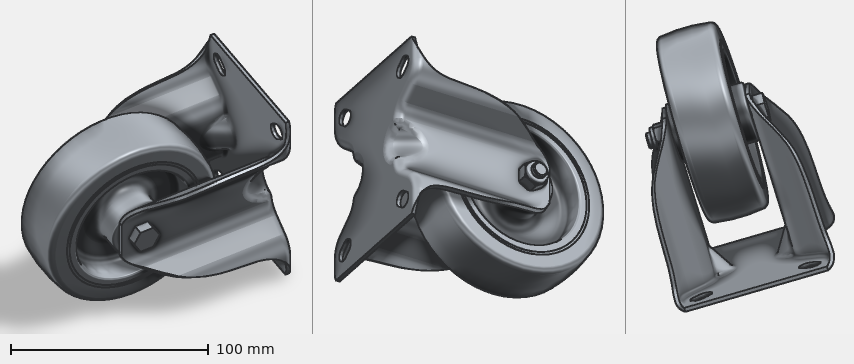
import cadquery as cq
import math


overall_length = 127.9
plate_height = 105.0
plate_width = 84.0
sheet = 2.2
wheel_radius = 50.0
wheel_width = 31.7

back_y = overall_length - wheel_radius
half_height = plate_height / 2
half_width = plate_width / 2

bend_outer = 2 * sheet
bend_inner = bend_outer - sheet
leg_length = 89.5
waist_x = 23.0
waist_flat = 10.7
waist_radius = 11.0
shoulder_radius = 15.9
flare_angle = math.radians(53)
flare_run = half_width - waist_x - (waist_radius + shoulder_radius) * (1 - math.cos(flare_angle))
shoulder_z = (
    waist_flat
    + (waist_radius + shoulder_radius) * math.sin(flare_angle)
    + flare_run / math.tan(flare_angle)
)
waist_center = (waist_x + waist_radius, waist_flat)
shoulder_center = (half_width - shoulder_radius, shoulder_z)
cut_overrun = 0.5
cut_overlap = 3.8

leg_outline = [
    (7.3, 36.8),
    (11.5, 34.8),
    (17.9, 33.4),
    (28.1, 32.7),
    (37.9, 32.4),
    (51.5, 30.7),
    (63.7, 27.6),
    (79.0, 21.2),
    (87.0, 15.7),
    (leg_length, waist_flat),
    (leg_length + cut_overrun, waist_flat - cut_overlap),
]

bend_cut_end_z = 39.9
bend_cut_step = 15
cut_reach = 1.3

dimple_radius = 10.2
dimple_lean = 31.4
dimple_foot_x = 11.4
dimple_length = 76.7
dimple_fillet_outer = 5.8
dimple_fillet_inner = 2.8

slot_x = 28.6
slot_z = 39.3
slot_width = 8.5
slot_length = 12.3
slot_angle = 36.5

tread_edge_x = 12.0
tread_edge_radius = 49.1
side_edge_x = 15.6
side_edge_radius = 45.9
tire_inner_radius = 39.3
groove_inner_radius = 37.7
groove_depth = 0.4
rim_radius = 32.9
rim_draft = 0.6
rim_round = 1.3
rim_fillet = 3.8
web_half = 2.0
hub_radius = 15.3
hub_half = 20.3
hub_fillet = 6.4
hub_round = 1.0
spacer_radius = 6.0

bolt_radius = 4.1
bolt_end_x = -34.1
bolt_chamfer = 0.6
hex_flats = 13.0
head_height = 5.5
nut_height = 6.5
nut_chamfer = 0.6
collar_radius = 6.3
collar_height = 2.0
collar_round = 0.8


def arc_point(center, radius, lean, side):
    """Point on a wall arc, where lean is the tilt of the wall away from Z."""
    return (
        center[0] + side * radius * math.cos(lean),
        center[1] - side * radius * math.sin(lean),
    )


def bent_block(inset, depth_start, bend_radius):
    """Solid bounded by the bracket walls, moved inwards by inset, with the back edge rounded."""
    waist_r = waist_radius + inset
    shoulder_r = shoulder_radius - inset
    quarter = (
        cq.Workplane("XZ", origin=(0, back_y - depth_start, 0))
        .lineTo(waist_x - inset, 0)
        .lineTo(waist_x - inset, waist_flat)
        .threePointArc(
            arc_point(waist_center, waist_r, flare_angle / 2, -1),
            arc_point(waist_center, waist_r, flare_angle, -1),
        )
        .lineTo(*arc_point(shoulder_center, shoulder_r, flare_angle, 1))
        .threePointArc(
            arc_point(shoulder_center, shoulder_r, flare_angle / 2, 1),
            arc_point(shoulder_center, shoulder_r, 0, 1),
        )
        .lineTo(half_width - inset, half_height)
        .lineTo(0, half_height)
        .close()
        .extrude(leg_length - depth_start)
    )
    back_rim = quarter.faces(">Y").edges("not (<X or <Z or >Z)")
    quarter = back_rim.fillet(bend_radius)
    half = quarter.union(quarter.mirror("YZ"))
    return half.union(half.mirror("XY"))


def press_dimples(body, radius, fillet):
    """Cut a slanted round groove into both back corners of a body and round its rim."""
    lean = math.radians(dimple_lean)
    along = cq.Vector(math.sin(lean), -math.cos(lean), 0)
    across = cq.Vector(math.cos(lean), math.sin(lean), 0)
    ridge_start = cq.Vector(dimple_foot_x, back_y - sheet, 0)
    ridge_middle = ridge_start + along * (waist_x - sheet - dimple_foot_x) / (2 * math.sin(lean))
    axis_start = ridge_start + across * (dimple_radius + sheet) - along * (dimple_length / 2)
    groove = cq.Workplane(obj=cq.Solid.makeCylinder(radius, dimple_length, axis_start, along))
    for side in (1, -1):
        side_groove = groove if side > 0 else groove.mirror("YZ")
        face_point = (side * ridge_middle.x, ridge_middle.y, 0)
        body = body.cut(side_groove)
        body = body.faces(cq.selectors.NearestToPointSelector(face_point)).edges().fillet(fillet)
    return body


def wall_at(height):
    """Inner-face X and lean angle of the leg wall at a height."""
    waist_r = waist_radius + sheet
    shoulder_r = shoulder_radius - sheet
    flare_low = arc_point(waist_center, waist_r, flare_angle, -1)
    flare_high = arc_point(shoulder_center, shoulder_r, flare_angle, 1)
    if height <= waist_flat:
        return waist_x - sheet, 0.0
    if height <= flare_low[1]:
        lean = math.asin((height - waist_flat) / waist_r)
        return arc_point(waist_center, waist_r, lean, -1)[0], lean
    if height <= flare_high[1]:
        return flare_low[0] + (height - flare_low[1]) * math.tan(flare_angle), flare_angle
    lean = math.asin(max(0.0, shoulder_z - height) / shoulder_r)
    return arc_point(shoulder_center, shoulder_r, lean, 1)[0], lean


def cut_curve(offset):
    """Edge curve of the sheet blank, offset outwards from the inner face along the sheet normal."""
    points = []
    for degrees in range(-bend_cut_step, 90 + bend_cut_step, bend_cut_step):
        angle = math.radians(degrees)
        reach = bend_inner + offset
        x = half_width - bend_outer + reach * math.sin(angle)
        y = back_y - bend_outer + reach * math.cos(angle)
        z = half_height + (bend_cut_end_z - half_height) * degrees / 90
        points.append(cq.Vector(x, y, z))
    for distance, height in leg_outline:
        x, lean = wall_at(height)
        points.append(cq.Vector(
            x + offset * math.cos(lean),
            back_y - distance,
            height - offset * math.sin(lean),
        ))
    return cq.Edge.makeSpline(points)


def leg_cut_faces():
    """Ruled faces square to the sheet that trim both edges of both legs."""
    face = cq.Face.makeRuledSurface(cut_curve(-cut_reach), cut_curve(sheet + cut_reach))
    pair = [face, face.mirror("XY")]
    return pair + [item.mirror("YZ") for item in pair]


def make_bracket():
    outer = press_dimples(bent_block(0, 0, bend_outer), dimple_radius, dimple_fillet_outer)
    inner = press_dimples(bent_block(sheet, sheet, bend_inner), dimple_radius + sheet, dimple_fillet_inner)
    blank = outer.cut(inner).val()
    pieces = blank.split(*leg_cut_faces()).Solids()
    bracket = cq.Workplane(obj=max(pieces, key=lambda piece: piece.Volume()))
    for side_x in (1, -1):
        for side_z in (1, -1):
            slot = (
                cq.Workplane("XZ", origin=(side_x * slot_x, back_y, side_z * slot_z))
                .slot2D(slot_length, slot_width, side_x * side_z * slot_angle)
                .extrude(sheet)
            )
            bracket = bracket.cut(slot)
    return bracket


def make_wheel():
    web_edge = rim_radius - rim_fillet
    rim_base_x = web_half + rim_fillet
    rim_edge_radius = rim_radius + rim_draft
    face_x = wheel_width / 2
    diagonal = math.sqrt(0.5)
    half = (
        cq.Workplane("XY")
        .lineTo(hub_half, 0)
        .lineTo(hub_half, hub_radius)
        .lineTo(web_half + hub_fillet, hub_radius)
        .threePointArc(
            (
                web_half + hub_fillet * (1 - diagonal),
                hub_radius + hub_fillet * (1 - diagonal),
            ),
            (web_half, hub_radius + hub_fillet),
        )
        .lineTo(web_half, web_edge)
        .threePointArc(
            (web_half + rim_fillet * (1 - diagonal), web_edge + rim_fillet * diagonal),
            (rim_base_x, rim_radius),
        )
        .lineTo(face_x - rim_round, rim_edge_radius)
        .threePointArc(
            (face_x - rim_round * (1 - diagonal), rim_edge_radius + rim_round * (1 - diagonal)),
            (face_x, rim_edge_radius + rim_round),
        )
        .lineTo(face_x, groove_inner_radius)
        .lineTo(face_x - groove_depth, groove_inner_radius)
        .lineTo(face_x - groove_depth, tire_inner_radius)
        .lineTo(face_x, tire_inner_radius)
        .lineTo(side_edge_x, side_edge_radius)
        .threePointArc(
            (
                tread_edge_x + (side_edge_x - tread_edge_x) * diagonal,
                side_edge_radius + (tread_edge_radius - side_edge_radius) * diagonal,
            ),
            (tread_edge_x, tread_edge_radius),
        )
        .lineTo(0, tread_edge_radius)
        .close()
        .revolve(360, (0, 0, 0), (1, 0, 0))
    )
    half = half.faces(">X").edges().fillet(hub_round)
    crown = (
        cq.Workplane("XY")
        .moveTo(-tread_edge_x, tire_inner_radius)
        .lineTo(-tread_edge_x, tread_edge_radius)
        .threePointArc((0, wheel_radius), (tread_edge_x, tread_edge_radius))
        .lineTo(tread_edge_x, tire_inner_radius)
        .close()
        .revolve(360, (0, 0, 0), (1, 0, 0))
    )
    wheel = half.union(half.mirror("YZ")).union(crown)
    spacer_end = waist_x - sheet
    spacer = cq.Workplane("YZ", origin=(-spacer_end, 0, 0)).circle(spacer_radius).extrude(2 * spacer_end)
    return wheel.union(spacer)


def make_bolt():
    hex_corners = hex_flats / math.cos(math.pi / 6)
    shank = (
        cq.Workplane("YZ", origin=(bolt_end_x, 0, 0))
        .circle(bolt_radius)
        .extrude(waist_x - bolt_end_x)
        .faces("<X")
        .chamfer(bolt_chamfer)
    )
    head = cq.Workplane("YZ", origin=(waist_x, 0, 0)).polygon(6, hex_corners).extrude(head_height)
    nut_blank = (
        cq.Workplane("YZ", origin=(-waist_x, 0, 0))
        .transformed(rotate=(0, 0, 90))
        .polygon(6, hex_corners)
        .extrude(-nut_height)
    )
    nut_envelope = (
        cq.Workplane("YZ", origin=(-waist_x, 0, 0))
        .circle(hex_corners / 2)
        .extrude(-nut_height)
        .faces("<X or >X")
        .chamfer(nut_chamfer)
    )
    collar = (
        cq.Workplane("YZ", origin=(-waist_x - nut_height, 0, 0))
        .circle(collar_radius)
        .extrude(-collar_height)
        .faces("<X")
        .edges()
        .fillet(collar_round)
    )
    return shank.union(head).union(nut_blank.intersect(nut_envelope)).union(collar)


result = make_bracket().union(make_wheel()).union(make_bolt())